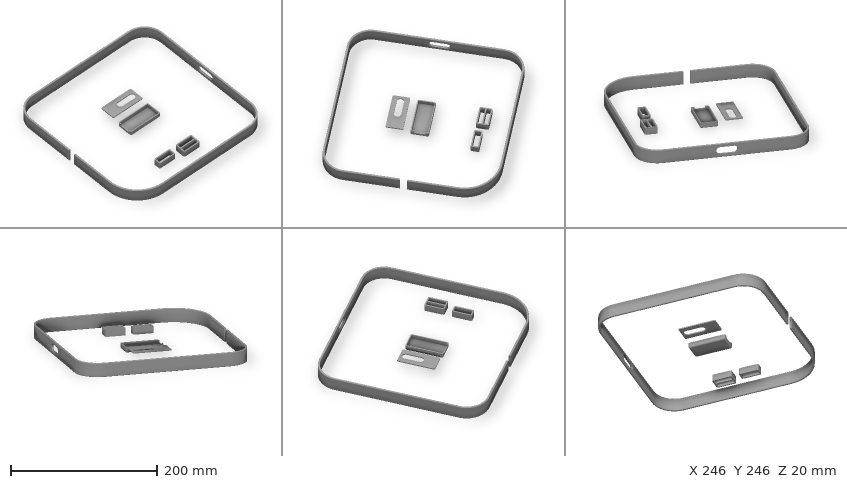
import cadquery as cq

RING_SIDE = 246.0
RING_HEIGHT = 20.0
RING_WALL = 3.0
RING_CORNER_RADIUS = 33.0
RING_WIDE_CORNER_RADIUS = 53.0
RING_EDGE_RADIUS = 1.0
GAP_WIDTH = 10.0
GAP_RIGHT_X = 0.0

SLOT_WIDTH = 10.0
RING_SLOT_LENGTH = 30.0
RING_SLOT_X = 0.0

TRAY_WIDTH = 25.5
TRAY_LENGTH = 54.5
TRAY_HEIGHT = 7.9
TRAY_CENTRE = (0.0, -2.2)
TRAY_WALL = 1.5
TRAY_EDGE_RADIUS = 2.0
NOTCH_WIDTH = 15.0
NOTCH_BOTTOM = 5.0

PLATE_WIDTH = 24.5
PLATE_THICKNESS = 1.7
PLATE_CENTRE = (-35.2, TRAY_CENTRE[1])
PLATE_CORNER_RADIUS = 1.5
PLATE_BASE_Z = TRAY_HEIGHT
PLATE_SLOT_LENGTH = 31.5
PLATE_SLOT_Y = 6.0

SLEEVE_LEFT_X = 73.0
SLEEVE_LENGTH = 29.0
SLEEVE_HEIGHT = 10.0
SLEEVE_WALL = 2.0
SLEEVE_CORNER_RADIUS = 2.0
SINGLE_CELL_WIDTH = 8.0
SINGLE_SLEEVE_Y = -27.5
DOUBLE_CELL_WIDTH = 6.2
DOUBLE_SLEEVE_Y = 12.3


def rounded_square(side, corner_radius, wide_radius, height):
    """Square block with three equal rounded corners and a wider one at +X, -Y."""
    block = cq.Workplane("XY").box(side, side, height, centered=(True, True, False))
    block = block.edges("|Z and (<X or >Y)").fillet(corner_radius)
    return block.edges("|Z").edges(">(1, -1, 0)").fillet(wide_radius)


def make_ring():
    outer = rounded_square(RING_SIDE, RING_CORNER_RADIUS, RING_WIDE_CORNER_RADIUS, RING_HEIGHT)
    inner = rounded_square(
        RING_SIDE - 2 * RING_WALL,
        RING_CORNER_RADIUS - RING_WALL,
        RING_WIDE_CORNER_RADIUS - RING_WALL,
        RING_HEIGHT,
    )
    band = outer.cut(inner).faces("<Z or >Z").edges().fillet(RING_EDGE_RADIUS)

    gap = cq.Workplane("XY").box(GAP_WIDTH, 2 * RING_WALL, RING_HEIGHT, centered=(True, True, False))
    band = band.cut(gap.translate((GAP_RIGHT_X - GAP_WIDTH / 2, -RING_SIDE / 2, 0)))

    slot = (
        cq.Workplane("XZ", origin=(RING_SLOT_X, RING_SIDE / 2, RING_HEIGHT / 2))
        .slot2D(RING_SLOT_LENGTH, SLOT_WIDTH)
        .extrude(RING_WALL, both=True)
    )
    return band.cut(slot)


def rounded_trough(width, length, height, radius):
    """Block on Z = 0 with rounded upright and bottom edges and a sharp top rim."""
    return (
        cq.Workplane("XY")
        .box(width, length, height, centered=(True, True, False))
        .edges("|Z or <Z")
        .fillet(radius)
    )


def make_tray():
    tray = rounded_trough(TRAY_WIDTH, TRAY_LENGTH, TRAY_HEIGHT, TRAY_EDGE_RADIUS)
    cavity = rounded_trough(
        TRAY_WIDTH - 2 * TRAY_WALL,
        TRAY_LENGTH - 2 * TRAY_WALL,
        TRAY_HEIGHT - TRAY_WALL,
        TRAY_EDGE_RADIUS - TRAY_WALL,
    ).translate((0, 0, TRAY_WALL))
    notch = (
        cq.Workplane("XY", origin=(0, -TRAY_LENGTH / 2, NOTCH_BOTTOM))
        .rect(NOTCH_WIDTH, 2 * TRAY_WALL)
        .extrude(TRAY_HEIGHT)
    )
    return tray.cut(cavity).cut(notch).translate((*TRAY_CENTRE, 0))


def make_plate():
    plate = (
        cq.Workplane("XY")
        .box(PLATE_WIDTH, TRAY_LENGTH, PLATE_THICKNESS, centered=(True, True, False))
        .edges("|Z")
        .fillet(PLATE_CORNER_RADIUS)
        .translate((*PLATE_CENTRE, PLATE_BASE_Z))
    )
    slot = (
        cq.Workplane("XY", origin=(PLATE_CENTRE[0], PLATE_SLOT_Y, PLATE_BASE_Z))
        .slot2D(PLATE_SLOT_LENGTH, SLOT_WIDTH, 90)
        .extrude(PLATE_THICKNESS)
    )
    return plate.cut(slot)


def make_sleeve(cell_count, cell_width, centre_y):
    """Tube whose cells lie side by side along X, split by walls of equal thickness."""
    pitch = cell_width + SLEEVE_WALL
    width = cell_count * pitch + SLEEVE_WALL
    sleeve = (
        cq.Workplane("XY")
        .box(width, SLEEVE_LENGTH, SLEEVE_HEIGHT, centered=(True, True, False))
        .edges("|Z")
        .fillet(SLEEVE_CORNER_RADIUS)
    )
    cells = (
        cq.Workplane("XY")
        .rarray(pitch, 2.5, cell_count, 1)
        .rect(cell_width, SLEEVE_LENGTH - 2 * SLEEVE_WALL)
        .extrude(SLEEVE_HEIGHT)
    )
    return sleeve.cut(cells).translate((SLEEVE_LEFT_X + width / 2, centre_y, 0))


ring = make_ring()
tray = make_tray()
plate = make_plate()
single_sleeve = make_sleeve(1, SINGLE_CELL_WIDTH, SINGLE_SLEEVE_Y)
double_sleeve = make_sleeve(2, DOUBLE_CELL_WIDTH, DOUBLE_SLEEVE_Y)

result = cq.Compound.makeCompound(
    [ring.val(), tray.val(), plate.val(), single_sleeve.val(), double_sleeve.val()]
)